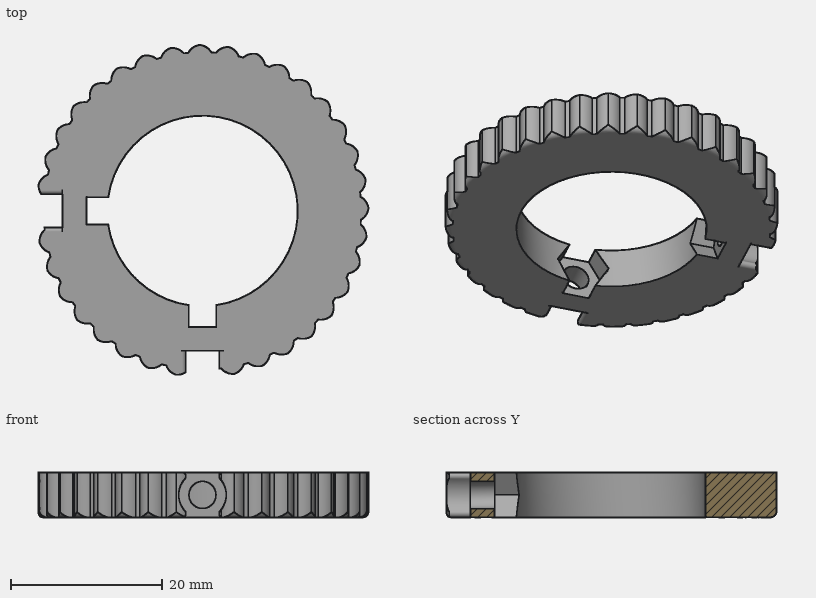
import cadquery as cq
import math

thickness = 6.0
mid_height = thickness / 2
bore_radius = 12.57

tooth_count = 36
tooth_pitch = 360 / tooth_count
first_tip_angle = 0.95
tip_radius = 21.95
root_radius = 21.0
root_half_angle = 0.85
flank_mid_radius = 21.65
flank_mid_angle = 2.3
rim_rounding = 0.85

station_angles = (180, 270)
pocket_floor = 18.5
pocket_radius = 3.15
lip_rounding = 0.52
screw_hole_diameter = 3.6
nut_slot_mouth = screw_hole_diameter
nut_slot_floor = 15.32
nut_flank_angle = 30

pocket_depth = tip_radius + 0.45 - pocket_floor


def polar(radius, degrees):
    angle = math.radians(degrees)
    return radius * math.cos(angle), radius * math.sin(angle)


def knurled_disc():
    """Disc with wavy teeth: two convex flanks meet at each tip, short arcs form the roots."""
    half_pitch = tooth_pitch / 2
    outline = cq.Workplane("XY").moveTo(*polar(tip_radius, first_tip_angle))
    for tooth in range(tooth_count):
        tip = first_tip_angle + tooth * tooth_pitch
        root = tip + half_pitch
        next_tip = tip + tooth_pitch
        outline = (
            outline
            .threePointArc(
                polar(flank_mid_radius, tip + flank_mid_angle),
                polar(root_radius, root - root_half_angle),
            )
            .threePointArc(polar(root_radius, root), polar(root_radius, root + root_half_angle))
            .threePointArc(
                polar(flank_mid_radius, next_tip - flank_mid_angle),
                polar(tip_radius, next_tip),
            )
        )
    return outline.close().extrude(thickness)


def rounded_envelope():
    """Plain disc with a rounded bottom edge, which trims the lower ends of the teeth."""
    disc = cq.Workplane("XY").circle(tip_radius).extrude(thickness)
    return disc.faces("<Z").edges().fillet(rim_rounding)


def radial_plane(angle, distance):
    """Plane facing outward at the given angle; local x runs around the rim, local y runs along Z."""
    x, y = polar(distance, angle)
    x_out, y_out = polar(1, angle)
    return cq.Plane(origin=(x, y, mid_height), xDir=(-y_out, x_out, 0), normal=(x_out, y_out, 0))


def screw_head_pocket(angle):
    """Round pocket wider than the ring is thick, with rounded lips where it breaks out."""
    lip_y = mid_height - lip_rounding
    lip_x = math.sqrt((pocket_radius + lip_rounding) ** 2 - lip_y**2)
    to_tangent = pocket_radius / (pocket_radius + lip_rounding)
    tangent_x = lip_x * to_tangent
    tangent_y = lip_y * to_tangent
    lip_inner_x = lip_x - lip_rounding
    return (
        cq.Workplane(radial_plane(angle, pocket_floor))
        .moveTo(-lip_x, mid_height)
        .lineTo(lip_x, mid_height)
        .threePointArc((lip_inner_x, lip_y), (tangent_x, tangent_y))
        .threePointArc((pocket_radius, 0), (tangent_x, -tangent_y))
        .threePointArc((lip_inner_x, -lip_y), (lip_x, -mid_height))
        .lineTo(-lip_x, -mid_height)
        .threePointArc((-lip_inner_x, -lip_y), (-tangent_x, -tangent_y))
        .threePointArc((-pocket_radius, 0), (-tangent_x, tangent_y))
        .threePointArc((-lip_inner_x, lip_y), (-lip_x, mid_height))
        .close()
        .extrude(pocket_depth)
    )


def screw_hole(angle):
    """Radial hole from the pocket floor into the nut slot."""
    return (
        cq.Workplane(radial_plane(angle, 0))
        .circle(screw_hole_diameter / 2)
        .extrude(pocket_floor)
    )


def nut_slot(angle):
    """Hexagonal nut slot open to the bore; the ring faces cut off its upper and lower tips."""
    mouth_x = nut_slot_mouth / 2
    corner_x = mouth_x + mid_height * math.tan(math.radians(nut_flank_angle))
    return (
        cq.Workplane(radial_plane(angle, 0))
        .polyline([
            (mouth_x, mid_height),
            (corner_x, 0),
            (mouth_x, -mid_height),
            (-mouth_x, -mid_height),
            (-corner_x, 0),
            (-mouth_x, mid_height),
        ])
        .close()
        .extrude(nut_slot_floor)
    )


result = knurled_disc().intersect(rounded_envelope())
result = result.cut(cq.Workplane("XY").circle(bore_radius).extrude(thickness))
for station_angle in station_angles:
    result = result.cut(screw_head_pocket(station_angle))
    result = result.cut(screw_hole(station_angle))
    result = result.cut(nut_slot(station_angle))